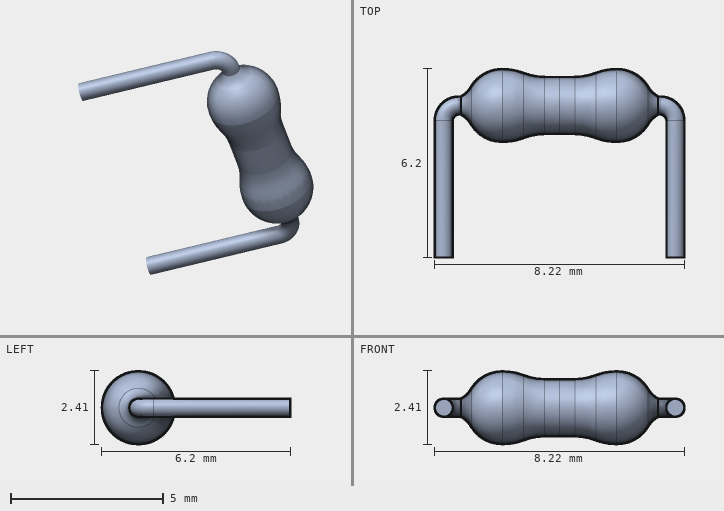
import cadquery as cq
import math


lead_pitch = 7.62
lead_diameter = 0.6
lead_reach = 5.0
bend_radius = 0.5

bulb_radius = 1.204
bulb_offset = 1.88
waist_radius = 0.945
waist_half_length = 0.5
body_half_length = 3.24
flare_start_angle = 32.0
flare_hollow = 0.025

lead_radius = lead_diameter / 2
lead_x = lead_pitch / 2
bend_start_x = lead_x - bend_radius


def bulb_point(angle_degrees):
    """Point on the bulb outline at an angle from the body axis."""
    angle = math.radians(angle_degrees)
    return (bulb_offset + bulb_radius * math.cos(angle), bulb_radius * math.sin(angle))


def make_half_body():
    """Revolved +X half: waist, S-shaped shoulder, spherical bulb, hollow flare."""
    waist_end = (waist_half_length, waist_radius)
    bulb_top = (bulb_offset, bulb_radius)
    shoulder_middle = (
        (waist_end[0] + bulb_top[0]) / 2,
        (waist_end[1] + bulb_top[1]) / 2,
    )
    flare_start = bulb_point(flare_start_angle)
    bulb_middle = bulb_point((90 + flare_start_angle) / 2)
    flare_end = (body_half_length, lead_radius)
    flare_middle = (
        (flare_start[0] + flare_end[0]) / 2 - flare_hollow,
        (flare_start[1] + flare_end[1]) / 2 - flare_hollow,
    )
    profile = (
        cq.Workplane("XY")
        .moveTo(0, 0)
        .lineTo(0, waist_radius)
        .lineTo(*waist_end)
        .tangentArcPoint(shoulder_middle, relative=False)
        .tangentArcPoint(bulb_top, relative=False)
        .threePointArc(bulb_middle, flare_start)
        .threePointArc(flare_middle, flare_end)
        .lineTo(body_half_length, 0)
        .close()
    )
    return profile.revolve(360, (0, 0, 0), (1, 0, 0))


def make_lead():
    """+X lead: from the bulb centre along X, round the bend, then straight to the tip."""
    bend_middle = (
        bend_start_x + bend_radius * math.sin(math.pi / 4),
        -bend_radius + bend_radius * math.cos(math.pi / 4),
    )
    path = (
        cq.Workplane("XY")
        .moveTo(bulb_offset, 0)
        .lineTo(bend_start_x, 0)
        .threePointArc(bend_middle, (lead_x, -bend_radius))
        .lineTo(lead_x, -lead_reach)
    )
    return cq.Workplane("YZ", origin=(bulb_offset, 0, 0)).circle(lead_radius).sweep(path)


half = make_half_body().union(make_lead())
result = half.union(half.mirror("YZ"))